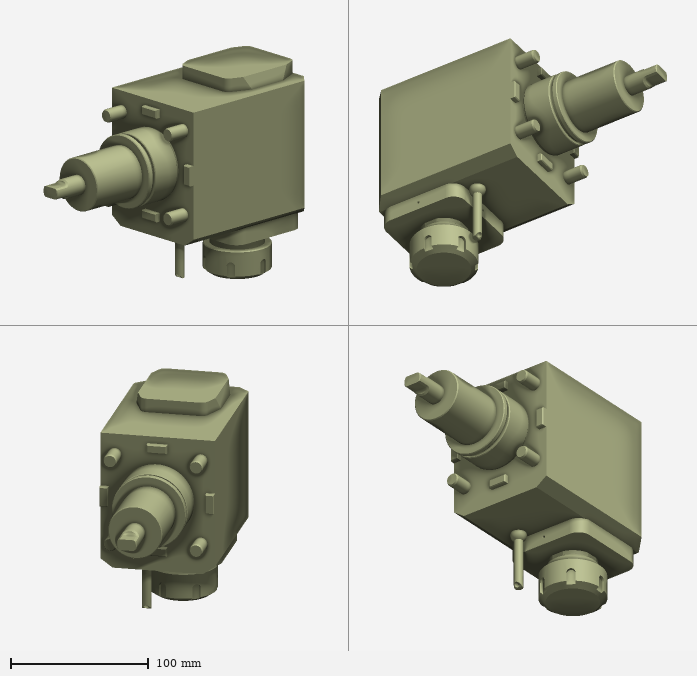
import cadquery as cq
import math


body_width = 85.0
body_length = 119.5
body_top = 48.0
body_bottom = -55.0
back_chamfer_x = 8.5
back_chamfer_y = 7.5
bottom_chamfer_x = 9.1
bottom_chamfer_z = 6.5

footprint = 68.2
tool_axis_y = body_length - footprint / 2

cover_top = 58.2
cover_base_width = 62.8
cover_top_width = 57.5
cover_end_width = 47.2
cover_side_flat = 31.2
cover_corner_radius = 5.8

flange_bottom = -67.0
flange_corner_radius = 10.0
vent_diameter = 2.1
vent_depth = 2.2
vent_z = (body_bottom + flange_bottom) / 2

neck_radius = 18.3
neck_step_radius = 37.7 / 2
neck_step_z = -70.5
collar_radius = 40.3 / 2
collar_top = -71.5
collar_chamfer_radial = 0.7
collar_chamfer_axial = 1.3
wrench_flat_distance = 17.5
nut_radius = 50.1 / 2
nut_top = -77.8
nut_bottom = -100.3
nut_bottom_radius = 19.8
nut_bottom_chamfer = 3.5
nut_top_chamfer = 0.7
nut_slot_count = 6
nut_slot_width = 6.5
nut_slot_depth = 2.5
nut_slot_top = -86.2
nut_slot_turn = 5.0

tube_x = -18.0
tube_y = 44.5
tube_diameter = 7.0
tube_tip_chamfer = 3.3
tube_hole_diameter = 4.0
tube_hole_depth = 4.5
ball_radius = 12.3 / 2
ball_drop = 1.1

pilot_radius = 55.0 / 2
pilot_length = 30.0
pilot_relief_radius = 26.7
pilot_relief_length = 1.1
pilot_relief_end = 2.0
pilot_chamfer = 0.55
groove_radius = 50.0 / 2
groove_start = 23.6
groove_end = 26.7
shank_radius = 40 / 2
shank_end = 75.0
shank_chamfer = 0.7
shaft_radius = 15.0 / 2
shaft_end = 103.4
shaft_end_chamfer = 0.55

tang_half_thickness = 8.2 / 2
tang_start = 91.1
tang_corner_radius = 2.7
tang_edge_chamfer = 1.1

key_length = 15.0
key_width = 6.5
key_height = 4.0
key_chamfer = 0.7
key_reach_x = body_width / 2
key_reach_z = 42.5
screw_spacing = 64.0
screw_radius = 10.0 / 2
screw_length = 16.0
screw_chamfer_radial = 0.7
screw_chamfer_axial = 1.3


def make_housing():
    half = body_width / 2
    low_half = half - bottom_chamfer_x
    low_side = body_bottom + bottom_chamfer_z
    section = [
        (-half, body_top),
        (half, body_top),
        (half, low_side),
        (low_half, body_bottom),
        (-low_half, body_bottom),
        (-half, low_side),
    ]
    housing = cq.Workplane("XZ").polyline(section).close().extrude(-body_length)

    back_half = half - back_chamfer_x
    side_end = body_length - back_chamfer_y
    plan = [
        (-half, 0),
        (half, 0),
        (half, side_end),
        (back_half, body_length),
        (-back_half, body_length),
        (-half, side_end),
    ]
    height = body_top - body_bottom
    envelope = cq.Workplane("XY", origin=(0, 0, body_bottom)).polyline(plan).close().extrude(height)
    return housing.intersect(envelope)


def make_cover():
    """Rounded octagonal cover whose two long sides lean inward."""
    height = cover_top - body_top
    half = cover_base_width / 2
    end_half = cover_end_width / 2
    outline = [
        (half, -cover_side_flat / 2),
        (half, cover_side_flat / 2),
        (end_half, footprint / 2),
        (-end_half, footprint / 2),
        (-half, cover_side_flat / 2),
        (-half, -cover_side_flat / 2),
        (-end_half, -footprint / 2),
        (end_half, -footprint / 2),
    ]
    block = cq.Workplane("XY", origin=(0, tool_axis_y, body_top)).polyline(outline).close().extrude(height)
    block = block.faces("<Y or >Y").edges("|Z").fillet(cover_corner_radius)

    top_half = cover_top_width / 2
    leaning_section = [
        (-half, body_top),
        (half, body_top),
        (top_half, cover_top),
        (-top_half, cover_top),
    ]
    leaning_sides = cq.Workplane("XZ").polyline(leaning_section).close().extrude(-body_length)
    return block.intersect(leaning_sides)


def make_flange():
    height = body_bottom + bottom_chamfer_z - flange_bottom
    flange = (
        cq.Workplane("XY", origin=(0, tool_axis_y, flange_bottom))
        .rect(footprint, footprint)
        .extrude(height)
        .edges("|Z")
        .fillet(flange_corner_radius)
    )
    vent_radius = vent_diameter / 2
    front_start = cq.Vector(0, tool_axis_y - footprint / 2, vent_z)
    side_start = cq.Vector(-footprint / 2, tool_axis_y, vent_z)
    front_vent = cq.Solid.makeCylinder(vent_radius, vent_depth, front_start, cq.Vector(0, 1, 0))
    side_vent = cq.Solid.makeCylinder(vent_radius, vent_depth, side_start, cq.Vector(1, 0, 0))
    return flange.cut(cq.Workplane(front_vent)).cut(cq.Workplane(side_vent))


def make_tool_spindle():
    """Neck with four wrench flats, collar and slotted clamping nut, built on the Z axis."""
    neck_profile = [
        (0, flange_bottom),
        (neck_radius, flange_bottom),
        (neck_radius, neck_step_z),
        (neck_step_radius, neck_step_z),
        (neck_step_radius, collar_top),
        (0, collar_top),
    ]
    neck = cq.Workplane("XZ").polyline(neck_profile).close().revolve(360, (0, 0), (0, 1))
    across_flats = 2 * wrench_flat_distance
    flats = cq.Workplane("XY", origin=(0, 0, collar_top)).rect(across_flats, across_flats)
    neck = neck.intersect(flats.extrude(flange_bottom - collar_top))

    nut_profile = [
        (0, collar_top),
        (collar_radius - collar_chamfer_radial, collar_top),
        (collar_radius, collar_top - collar_chamfer_axial),
        (collar_radius, nut_top),
        (nut_radius - nut_top_chamfer, nut_top),
        (nut_radius, nut_top - nut_top_chamfer),
        (nut_radius, nut_bottom + nut_bottom_chamfer),
        (nut_bottom_radius, nut_bottom),
        (0, nut_bottom),
    ]
    nut = cq.Workplane("XZ").polyline(nut_profile).close().revolve(360, (0, 0), (0, 1))

    half_width = nut_slot_width / 2
    arch_start = nut_slot_top - half_width
    slot = (
        cq.Workplane("YZ", origin=(nut_radius - nut_slot_depth, 0, 0))
        .moveTo(-half_width, nut_bottom)
        .lineTo(-half_width, arch_start)
        .threePointArc((0, nut_slot_top), (half_width, arch_start))
        .lineTo(half_width, nut_bottom)
        .close()
        .extrude(2 * nut_slot_depth)
    )
    for index in range(nut_slot_count):
        angle = nut_slot_turn + index * 360 / nut_slot_count
        nut = nut.cut(slot.rotate((0, 0, 0), (0, 0, 1), angle))
    return neck.union(nut).translate((0, tool_axis_y, 0))


def make_coolant_tube():
    """Ball joint and tube; the tip is bevelled toward -Y and drilled square to the bevel."""
    radius = tube_diameter / 2
    length = body_bottom - nut_bottom
    tube = cq.Workplane("XY", origin=(tube_x, tube_y, nut_bottom)).circle(radius).extrude(length)
    front = tube_y - radius
    bevel = [
        (front, nut_bottom),
        (front + tube_tip_chamfer, nut_bottom),
        (front, nut_bottom + tube_tip_chamfer),
    ]
    tube = tube.cut(
        cq.Workplane("YZ", origin=(tube_x, 0, 0)).polyline(bevel).close().extrude(radius, both=True)
    )
    bevel_middle = cq.Vector(tube_x, front + tube_tip_chamfer / 2, nut_bottom + tube_tip_chamfer / 2)
    hole = cq.Solid.makeCylinder(tube_hole_diameter / 2, tube_hole_depth, bevel_middle, cq.Vector(0, 1, 1))
    ball = cq.Workplane("XY").sphere(ball_radius).translate((tube_x, tube_y, body_bottom - ball_drop))
    return tube.cut(cq.Workplane(hole)).union(ball)


def make_drive_shank():
    """Grooved pilot, shank and shaft, turned about the Y axis."""
    profile = [
        (0, 0),
        (pilot_relief_radius, 0),
        (pilot_relief_radius, -pilot_relief_length),
        (pilot_radius, -pilot_relief_end),
        (pilot_radius, -groove_start + pilot_chamfer),
        (pilot_radius - pilot_chamfer, -groove_start),
        (groove_radius, -groove_start),
        (groove_radius, -groove_end),
        (pilot_radius, -groove_end),
        (pilot_radius, -pilot_length + pilot_chamfer),
        (pilot_radius - pilot_chamfer, -pilot_length),
        (shank_radius, -pilot_length),
        (shank_radius, -shank_end + shank_chamfer),
        (shank_radius - shank_chamfer, -shank_end),
        (shaft_radius, -shank_end),
        (shaft_radius, -shaft_end + shaft_end_chamfer),
        (shaft_radius - shaft_end_chamfer, -shaft_end),
        (0, -shaft_end),
    ]
    shank = cq.Workplane("XY").polyline(profile).close().revolve(360, (0, 0), (0, 1))
    return cut_tang(shank)


def cut_tang(shank):
    """Mill two opposite flats with a rounded inner corner, then bevel their outer edges."""
    corner_end = tang_start + tang_corner_radius
    corner_top = tang_half_thickness + tang_corner_radius
    sag = tang_corner_radius * (1 - math.sqrt(0.5))
    flat_cut = (
        cq.Workplane("YZ")
        .moveTo(-tang_start, shaft_radius)
        .lineTo(-tang_start, corner_top)
        .threePointArc((-tang_start - sag, tang_half_thickness + sag), (-corner_end, tang_half_thickness))
        .lineTo(-shaft_end, tang_half_thickness)
        .lineTo(-shaft_end, shaft_radius)
        .close()
        .extrude(shaft_radius, both=True)
    )
    shank = shank.cut(flat_cut).cut(flat_cut.mirror("XY"))

    tolerance = 0.02
    rims = []
    for edge in shank.edges().vals():
        middle = edge.positionAt(0.5)
        on_round = abs(math.hypot(middle.x, middle.z) - shaft_radius) < tolerance
        beside_cut = tang_start - tolerance < -middle.y < shaft_end - shaft_end_chamfer - tolerance
        if on_round and beside_cut:
            rims.append(edge)
    return shank.newObject(rims).chamfer(tang_edge_chamfer)


def make_key(center_x, center_z, size_x, size_z):
    key = cq.Workplane("XZ").center(center_x, center_z).rect(size_x, size_z).extrude(key_height)
    return key.faces("<Y").edges().chamfer(key_chamfer)


def make_keys():
    offset_x = key_reach_x - key_width / 2
    offset_z = key_reach_z - key_width / 2
    keys = cq.Workplane("XZ")
    for sign in (-1, 1):
        keys = keys.union(make_key(sign * offset_x, 0, key_width, key_length))
        keys = keys.union(make_key(0, sign * offset_z, key_length, key_width))
    return keys


def make_screws():
    return (
        cq.Workplane("XZ")
        .rect(screw_spacing, screw_spacing, forConstruction=True)
        .vertices()
        .circle(screw_radius)
        .extrude(screw_length)
        .faces("<Y")
        .edges()
        .chamfer(screw_chamfer_axial, screw_chamfer_radial)
    )


result = (
    make_housing()
    .union(make_cover())
    .union(make_flange())
    .union(make_tool_spindle())
    .union(make_coolant_tube())
    .union(make_drive_shank())
    .union(make_keys())
    .union(make_screws())
)